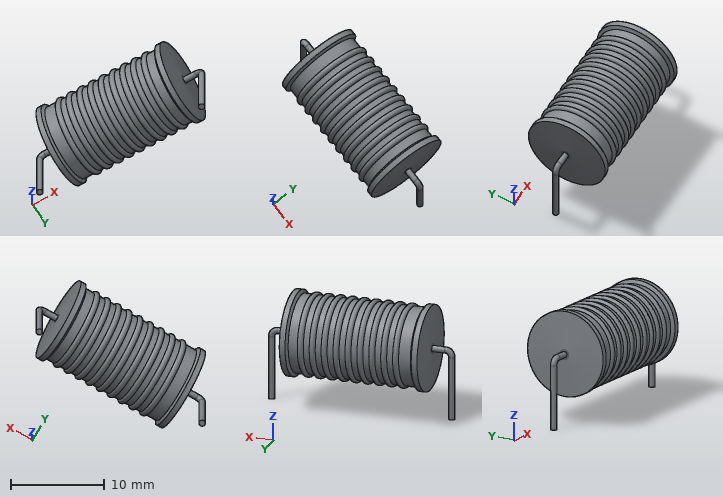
import cadquery as cq

overall_length = 21.02
wire_diameter = 0.7
lead_drop = 7.85
bend_radius = wire_diameter

body_diameter = 8.7
flange_diameter = 9.5
face_half_length = 8.0
rim_half_length = 7.78
rim_inner_half_length = 7.13
chamfer_end_half_length = 6.9
end_flat_diameter = 1.07

turn_count = 9
turn_pitch = 1.35
turn_offset = 0.15
turn_outer_diameter = 9.25


def make_body():
    """Revolve the body with its shallow conical end faces and chamfered flanges."""
    body_radius = body_diameter / 2
    flange_radius = flange_diameter / 2
    flat_radius = end_flat_diameter / 2
    half_profile = [
        (face_half_length, flat_radius),
        (rim_half_length, flange_radius),
        (rim_inner_half_length, flange_radius),
        (chamfer_end_half_length, body_radius),
    ]
    mirrored_profile = [(-x, radius) for x, radius in reversed(half_profile)]
    outline = [(face_half_length, 0)] + half_profile + mirrored_profile + [(-face_half_length, 0)]
    return cq.Workplane("XY").polyline(outline).close().revolve(360, (0, 0), (1, 0))


def make_turn(x):
    """One ring of wire around the body."""
    wire_radius = wire_diameter / 2
    ring_radius = turn_outer_diameter / 2 - wire_radius
    section = cq.Workplane("XY").center(x, ring_radius).circle(wire_radius)
    return section.revolve(360, (0, -ring_radius), (1, -ring_radius))


def make_lead(side):
    """Lead leaving one end face along X and bending down; side is -1 or +1."""
    drop_x = side * (overall_length - wire_diameter) / 2
    bend_start_x = drop_x - side * bend_radius
    path = (
        cq.Workplane("XZ")
        .moveTo(side * rim_half_length, 0)
        .lineTo(bend_start_x, 0)
        .tangentArcPoint((drop_x, -bend_radius), relative=False)
        .lineTo(drop_x, -lead_drop)
    )
    section = cq.Workplane("YZ", origin=(side * rim_half_length, 0, 0)).circle(wire_diameter / 2)
    return section.sweep(path)


result = make_body()
for index in range(turn_count):
    turn_x = turn_offset + (index - (turn_count - 1) / 2) * turn_pitch
    result = result.union(make_turn(turn_x))
for side in (-1, 1):
    result = result.union(make_lead(side))